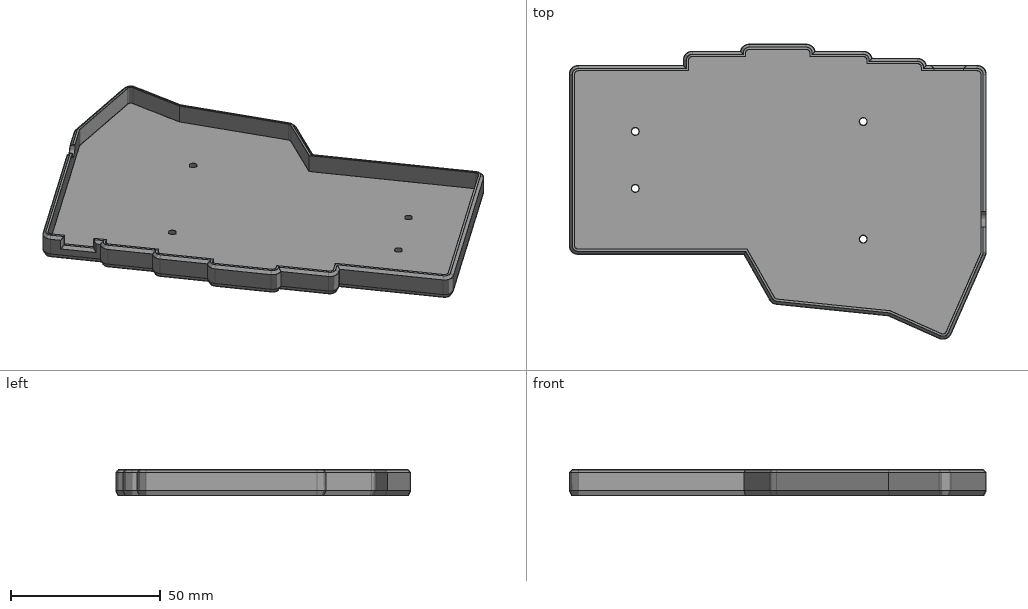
import cadquery as cq
pitch = 19.05
rows = 3
columns = 7
board_width = columns * pitch
board_height = rows * pitch

stagger = 2.375
low_rise = stagger
middle_rise = 2 * stagger
high_rise = 3 * stagger

low_column_end = 113.4

thumb_start = (3 * pitch, 0)
thumb_left_corner = (66.6, -16.7)
thumb_bend = (104.5, -20.6)
thumb_tip = (121.85, -28.345)
thumb_right_end = (board_width, -2.2)

case_height = 8.7
outer_margin = 3.0
cavity_margin = 1.25
floor_thickness = 2.2
rim_chamfer = 1.0
base_chamfer_inset = 0.85
base_chamfer_height = 1.7

screw_diameter = 2.5
lower_right_screw_y = 2.1
upper_right_screw_y = 41.4
screw_points = [
    (pitch, pitch),
    (pitch, 2 * pitch),
    (5 * pitch, lower_right_screw_y),
    (5 * pitch, upper_right_screw_y),
]

jack_diameter = 5.2
jack_y = 8.8
jack_z = 8.3

plug_width = 10.0
plug_x = (columns - 0.5) * pitch
plug_bottom = 5.2

wall_cut_length = 2 * outer_margin


def board_outline():
    """Board outline, counterclockwise from the lower left corner."""
    return [
        (0, 0),
        thumb_start,
        thumb_left_corner,
        thumb_bend,
        thumb_tip,
        thumb_right_end,
        (board_width, board_height),
        (low_column_end, board_height),
        (low_column_end, board_height + low_rise),
        (5 * pitch, board_height + low_rise),
        (5 * pitch, board_height + middle_rise),
        (4 * pitch, board_height + middle_rise),
        (4 * pitch, board_height + high_rise),
        (3 * pitch, board_height + high_rise),
        (3 * pitch, board_height + middle_rise),
        (2 * pitch, board_height + middle_rise),
        (2 * pitch, board_height),
        (0, board_height),
    ]


def grown_board(margin, base_z, height):
    """Prism of the board outline grown by a margin, with rounded outer corners."""
    outline = cq.Workplane("XY").workplane(offset=base_z).polyline(board_outline()).close()
    return outline.offset2D(margin, "arc").extrude(height)


def case_body():
    """Outer block with chamfered rim and base, hollowed down to the floor."""
    block = grown_board(outer_margin, 0, case_height)
    block = block.faces("<Z").chamfer(base_chamfer_height, base_chamfer_inset)
    block = block.faces(">Z").chamfer(rim_chamfer)
    return block.cut(grown_board(cavity_margin, floor_thickness, case_height))


def screw_holes():
    return cq.Workplane("XY").pushPoints(screw_points).circle(screw_diameter / 2).extrude(case_height)


def jack_notch():
    """Round-bottomed slot through the right wall, open at the rim."""
    plane = cq.Workplane("YZ", origin=(board_width, jack_y, jack_z))
    bore = plane.circle(jack_diameter / 2).extrude(wall_cut_length)
    opening = plane.rect(jack_diameter, case_height).extrude(wall_cut_length)
    opening = opening.translate((0, 0, case_height / 2))
    return bore.union(opening)


def plug_notch():
    """Rectangular slot through the back wall, open at the rim and chamfered around its outer edge."""
    center = (plug_x, 0, plug_bottom + case_height / 2)
    wall_face = board_height + outer_margin
    flare = 2 * rim_chamfer
    straight = cq.Workplane("XZ", origin=center).workplane(offset=-board_height)
    straight = straight.rect(plug_width, case_height).extrude(-outer_margin)
    flared = cq.Workplane("XZ", origin=center).workplane(offset=rim_chamfer - wall_face)
    flared = flared.rect(plug_width, case_height).workplane(offset=-rim_chamfer)
    flared = flared.rect(plug_width + flare, case_height + flare).loft()
    return straight.union(flared)


result = case_body().cut(screw_holes()).cut(jack_notch()).cut(plug_notch())